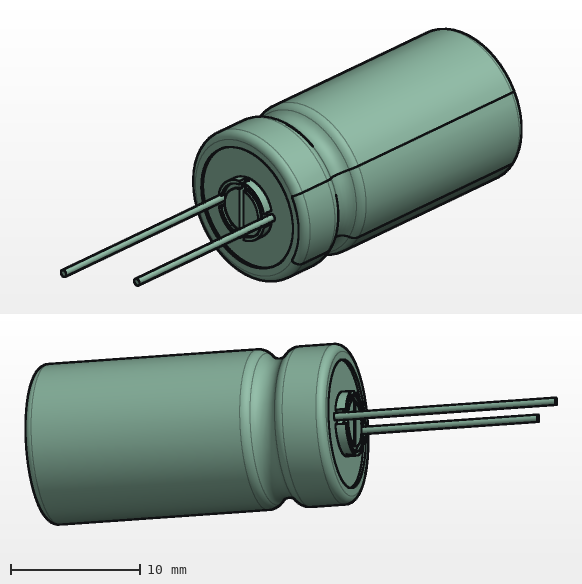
import cadquery as cq
import math

total_length = 42.0

can_length = 24.3
can_radius = 6.25
rim_fillet = 0.65
crimp_y = 5.1
crimp_depth = 0.85
crimp_radius = 1.25
crimp_edge_radius = 0.92

stripe_angle = 60.0
stripe_thickness = 0.15

plug_radius = 5.0
plug_recess = 0.2
plug_thickness = 1.25
boss_radius = 2.5
boss_height = 0.65
ring_groove_outer_radius = 2.23
ring_groove_inner_radius = 1.8
ring_groove_depth = 0.3
slot_width = 0.4
lead_clearance_radius = 0.6

lead_offset = 2.5
lead_radius = 0.3
long_lead_length = total_length - can_length
short_lead_length = 14.7

crimp_slope = math.acos(1 - crimp_depth / (crimp_radius + crimp_edge_radius))
crimp_half_width = (crimp_radius + crimp_edge_radius) * math.sin(crimp_slope)
meeting_tolerance = 0.0005


def point_on_arc(center, radius, angle):
    """Point on a circle, with the angle in radians measured from the radial direction."""
    return (center[0] + radius * math.cos(angle), center[1] + radius * math.sin(angle))


def wall_arcs(inset):
    """Start, middle and end of each arc of the can wall, from rim to top, moved inward by inset."""
    fillet = rim_fillet - inset
    edge = crimp_edge_radius - inset
    crimp = crimp_radius + inset
    fillet_x = can_radius - rim_fillet
    edge_x = can_radius - crimp_edge_radius
    crimp_x = can_radius - crimp_depth + crimp_radius
    arcs = [
        ((fillet_x, rim_fillet), fillet, -math.pi / 2, 0),
        ((edge_x, crimp_y - crimp_half_width), edge, 0, crimp_slope),
        ((crimp_x, crimp_y), crimp, math.pi + crimp_slope, math.pi - crimp_slope),
        ((edge_x, crimp_y + crimp_half_width), edge, -crimp_slope, 0),
        ((fillet_x, can_length - rim_fillet), fillet, 0, math.pi / 2),
    ]
    return [
        tuple(point_on_arc(center, radius, angle) for angle in (start, (start + end) / 2, end))
        for center, radius, start, end in arcs
    ]


def draw_wall(sketch, arcs):
    """Draw the arcs in order, with a straight line wherever two arcs do not already meet."""
    position = None
    for start, middle, end in arcs:
        if position is None or math.dist(position, start) > meeting_tolerance:
            sketch = sketch.lineTo(*start)
        sketch = sketch.threePointArc(middle, end)
        position = end
    return sketch


def cylinder(radius, y_start, y_end, x=0):
    """Cylinder along Y between two Y positions."""
    solid = cq.Solid.makeCylinder(radius, y_end - y_start, cq.Vector(x, y_start, 0), cq.Vector(0, 1, 0))
    return cq.Workplane(obj=solid)


def make_stripe():
    inner_arcs = [arc[::-1] for arc in reversed(wall_arcs(stripe_thickness))]
    sketch = cq.Workplane("XY").moveTo(can_radius - rim_fillet, stripe_thickness)
    sketch = draw_wall(sketch, wall_arcs(0))
    sketch = draw_wall(sketch, inner_arcs)
    band = sketch.close().revolve(stripe_angle, (0, 0), (0, 1))
    return band.rotate((0, 0, 0), (0, 1, 0), -stripe_angle / 2)


def make_can(stripe):
    sketch = draw_wall(cq.Workplane("XY"), wall_arcs(0))
    can = sketch.lineTo(0, can_length).close().revolve(360, (0, 0), (0, 1))
    plug_seat = cylinder(plug_radius, 0, plug_recess + plug_thickness)
    return can.cut(plug_seat).cut(stripe).solids()


def make_plug():
    disc = cylinder(plug_radius, plug_recess, plug_recess + plug_thickness)
    boss = cylinder(boss_radius, -boss_height, plug_recess)
    groove_floor = ring_groove_depth - boss_height
    ring_groove = cylinder(ring_groove_outer_radius, -boss_height, groove_floor).cut(
        cylinder(ring_groove_inner_radius, -boss_height, groove_floor)
    )
    slot = cq.Workplane("XY").box(slot_width, boss_height, 2 * boss_radius).translate((0, -boss_height / 2, 0))
    boss = boss.cut(ring_groove).cut(slot)
    for side in (-1, 1):
        boss = boss.cut(cylinder(lead_clearance_radius, -boss_height, plug_recess, side * lead_offset))
    return disc.union(boss).solids()


def make_lead(x, length):
    """Straight lead from the plug face to the given length beyond the can rim."""
    return cylinder(lead_radius, -length, plug_recess, x)


stripe = make_stripe()
can = make_can(stripe)
plug = make_plug()
leads = [
    make_lead(x, length)
    for x, length in ((-lead_offset, long_lead_length), (lead_offset, short_lead_length))
]

result = cq.Compound.makeCompound([can.val(), stripe.val(), plug.val(), *(lead.val() for lead in leads)])